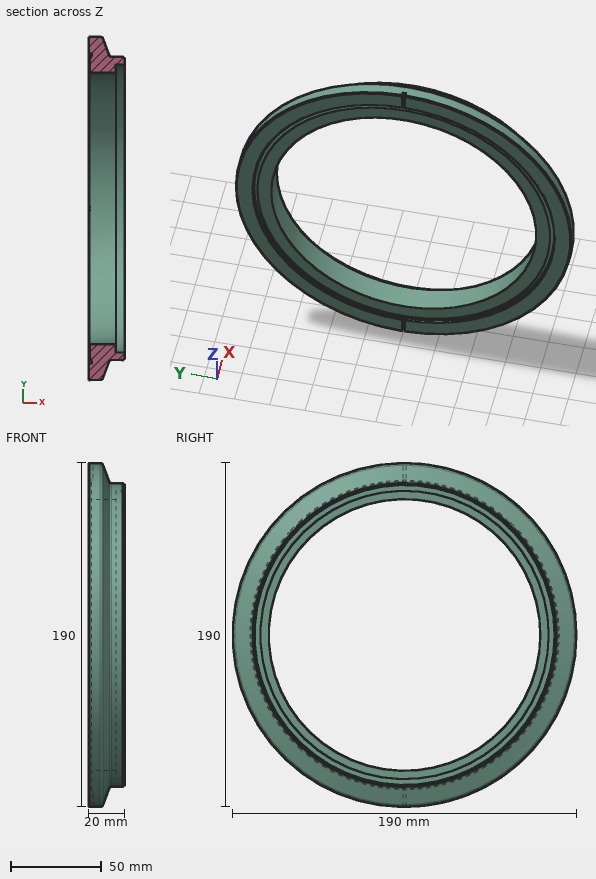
import cadquery as cq
import math

length = 20.0
flange_radius = 190 / 2
hub_radius = 168.0 / 2
bore_radius = 150.0 / 2
socket_radius = 159.2 / 2
socket_depth = 5.0

face_chamfer = 0.5
rim_width = 6.3
cone_angle = math.radians(20)
rim_round = 1.9
root_start = 11.4
root_end = 12.5
hub_chamfer = 1.1

recess_radius = 85.5
recess_depth = 1.7
ridge_radius = 82.8
ledge_width = 0.5
ridge_setback = 0.5

groove_width = 1.7
groove_depth = 2.3

root_round = (root_end - root_start) / math.cos(cone_angle)
rim_center = (rim_width, flange_radius - rim_round)
root_center = (root_end, hub_radius + root_round)


def on_arc(center, radius, angle):
    """Point of a circle, with the angle measured from the +X axis."""
    return (center[0] + radius * math.cos(angle), center[1] + radius * math.sin(angle))


rim_middle_angle = (math.pi / 2 + cone_angle) / 2
root_end_angle = math.pi + cone_angle
root_middle_angle = (root_end_angle + 3 * math.pi / 2) / 2


def ring_body():
    """Revolved section: sealing face, clamping cone, hub and tube socket."""
    section = (
        cq.Workplane("XY")
        .moveTo(ridge_setback, bore_radius)
        .lineTo(ridge_setback, ridge_radius)
        .lineTo(recess_depth, recess_radius - ledge_width)
        .lineTo(recess_depth, recess_radius)
        .lineTo(0, recess_radius)
        .lineTo(0, flange_radius - face_chamfer)
        .lineTo(face_chamfer, flange_radius)
        .lineTo(rim_width, flange_radius)
        .threePointArc(
            on_arc(rim_center, rim_round, rim_middle_angle),
            on_arc(rim_center, rim_round, cone_angle),
        )
        .lineTo(*on_arc(root_center, root_round, root_end_angle))
        .threePointArc(
            on_arc(root_center, root_round, root_middle_angle),
            (root_end, hub_radius),
        )
        .lineTo(length - hub_chamfer, hub_radius)
        .lineTo(length, hub_radius - hub_chamfer)
        .lineTo(length, socket_radius)
        .lineTo(length - socket_depth, socket_radius)
        .lineTo(length - socket_depth, bore_radius)
        .close()
    )
    return section.revolve(360, (0, 0, 0), (1, 0, 0))


def radial_groove(side):
    """Cutter from the recess wall out through the rim, above (+1) or below (-1) the axis."""
    radial_length = flange_radius - recess_radius
    return (
        cq.Workplane("XY")
        .box(2 * groove_depth, groove_width, radial_length)
        .translate((0, 0, side * (recess_radius + radial_length / 2)))
    )


result = ring_body()
for side in (1, -1):
    result = result.cut(radial_groove(side))